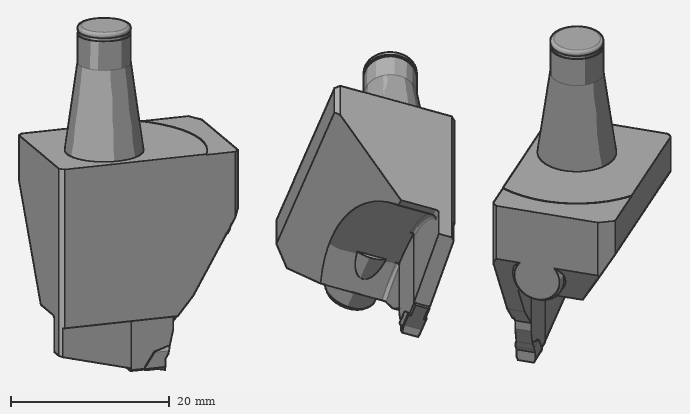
import cadquery as cq
import math


SHANK_TOP = 16.5
SHANK_RADIUS = 3.4
TAPER_BASE_RADIUS = 5.0
TAPER_TOP = 11.6
GROOVE_RADIUS = 3.3
GROOVE_BOTTOM = 15.4
GROOVE_TOP = 15.8
BEAD_MIDDLE = 16.1
SHANK_END_RADIUS = 2.95

HEAD_LEFT = -10.0
HEAD_RIGHT = 6.0
HEAD_FRONT = -8.0
HEAD_BACK = 15.98
HEAD_BOTTOM = -20.0
CORNER_CHAMFER = 0.6
BIG_CHAMFER_X = 1.9
BIG_CHAMFER_Y = 1.1
SEAT_RADIUS = 13.0
SEAT_STEP = 0.1
SLANT_TAN = math.tan(math.radians(30))
LEFT_SLANT_START = -5.0
BACK_SLANT_START = -7.8

BLADE_LEFT = 3.7
BLADE_RIGHT = 5.85
BLADE_FRONT_BOTTOM = -24.75
BLADE_BOTTOM_TAN = math.tan(math.radians(15))
RIGHT_STEP = -21.0
BACK_BEND_Y = 9.8
BACK_END_Z = -21.63
ROOT_FILLET = 0.5

ARCH_Y = 6.25
ARCH_TOP = -12.45
ARCH_RADIUS = 15.58

BOSS_RADIUS = 3.4
BOSS_Z = -9.7
BOSS_CHAMFER_RADIAL = 0.4
BOSS_CHAMFER_LENGTH = 0.6
BOSS_LENGTH = 8.9

INSERT_FRONT = 1.5
INSERT_BACK = 7.15
INSERT_BOTTOM = -27.72
EDGE_Y = 6.05
TIP_Z = -28.0
TIP_RELIEF_Y = 5.0
FLARE = 0.2
FLARE_TOP = -24.85
FLARE_FULL = -25.4
TIP_CHAMFER = 0.22
TIP_CORNER_HEIGHT = 0.5
CHIP_FACE = [(INSERT_BACK, -22.8), (6.68, -24.9), (6.45, -25.8), (EDGE_Y, -26.48)]
FLANK_BACK = 6.8
FLANK_BORDER = [(FLANK_BACK, -24.75), (4.65, -25.35), (3.35, -27.3), (3.35, TIP_Z)]

MARGIN = 4.45
SELECT_TOLERANCE = 0.05


def arch_z(y):
    """Height of the arch at a given Y."""
    return ARCH_TOP - ARCH_RADIUS + math.sqrt(ARCH_RADIUS**2 - (y - ARCH_Y) ** 2)


def side_prism(outline, x_start, x_end):
    """Extrude a closed YZ outline from x_start to x_end."""
    return outline.close().extrude(x_end - x_start).translate((x_start, 0, 0))


def make_shank():
    """Tapered shank with a grooved, beaded end."""
    profile = (
        cq.Workplane("XZ")
        .moveTo(0, -SEAT_STEP)
        .lineTo(TAPER_BASE_RADIUS, -SEAT_STEP)
        .lineTo(TAPER_BASE_RADIUS, 0)
        .lineTo(SHANK_RADIUS, TAPER_TOP)
        .lineTo(SHANK_RADIUS, GROOVE_BOTTOM)
        .lineTo(GROOVE_RADIUS, GROOVE_BOTTOM)
        .lineTo(GROOVE_RADIUS, GROOVE_TOP)
        .threePointArc((SHANK_RADIUS, BEAD_MIDDLE), (SHANK_END_RADIUS, SHANK_TOP))
        .lineTo(0, SHANK_TOP)
        .close()
    )
    return profile.revolve(360, (0, 0, 0), (0, 1, 0))


def make_column():
    """Chamfered footprint of the head, extruded down to below the blade."""
    c = CORNER_CHAMFER
    return (
        cq.Workplane("XY")
        .polyline(
            [
                (HEAD_LEFT, HEAD_FRONT + c),
                (HEAD_LEFT + c, HEAD_FRONT),
                (HEAD_RIGHT - c, HEAD_FRONT),
                (HEAD_RIGHT, HEAD_FRONT + c),
                (HEAD_RIGHT, HEAD_BACK - c),
                (HEAD_RIGHT - c, HEAD_BACK),
                (HEAD_LEFT + BIG_CHAMFER_X, HEAD_BACK),
                (HEAD_LEFT, HEAD_BACK - BIG_CHAMFER_Y),
            ]
        )
        .close()
        .extrude(TIP_Z)
    )


def make_side_outline():
    """Prism along X that gives the head and blade their back slant and sloped bottom."""
    back_bend_z = BACK_SLANT_START - (HEAD_BACK - BACK_BEND_Y) / SLANT_TAN
    front_end_z = BLADE_FRONT_BOTTOM - (INSERT_FRONT - HEAD_FRONT) * BLADE_BOTTOM_TAN
    outline = cq.Workplane("YZ").polyline(
        [
            (HEAD_FRONT, 0),
            (HEAD_FRONT, BLADE_FRONT_BOTTOM),
            (INSERT_FRONT, front_end_z),
            (INSERT_FRONT, BACK_END_Z),
            (INSERT_BACK, BACK_END_Z),
            (BACK_BEND_Y, back_bend_z),
            (HEAD_BACK, BACK_SLANT_START),
            (HEAD_BACK, 0),
        ]
    )
    return side_prism(outline, HEAD_LEFT, HEAD_RIGHT)


def make_left_slant_cut():
    """Removes the corner below the left slant."""
    low_z = TIP_Z - MARGIN
    low_x = HEAD_LEFT + (LEFT_SLANT_START - low_z) * SLANT_TAN
    return (
        cq.Workplane("XZ", origin=(0, HEAD_FRONT - MARGIN, 0))
        .polyline([(HEAD_LEFT, LEFT_SLANT_START), (HEAD_LEFT, low_z), (low_x, low_z)])
        .close()
        .extrude(-(HEAD_BACK - HEAD_FRONT + 2 * MARGIN))
    )


def make_underside_cut():
    """Space left of the blade and below the arch, with a round root along the blade."""
    arch_centre_z = ARCH_TOP - ARCH_RADIUS
    arch_start_y = ARCH_Y - math.sqrt(ARCH_RADIUS**2 - (HEAD_BOTTOM - arch_centre_z) ** 2)
    far_back = HEAD_BACK + MARGIN
    low_z = TIP_Z - MARGIN
    outline = (
        cq.Workplane("YZ")
        .moveTo(HEAD_FRONT - MARGIN, low_z)
        .lineTo(HEAD_FRONT - MARGIN, HEAD_BOTTOM)
        .lineTo(arch_start_y, HEAD_BOTTOM)
        .threePointArc((ARCH_Y, ARCH_TOP), (far_back, arch_z(far_back)))
        .lineTo(far_back, low_z)
    )
    space = side_prism(outline, HEAD_LEFT - MARGIN, BLADE_LEFT)
    top_of_blade_face = cq.selectors.BoxSelector(
        (BLADE_LEFT - SELECT_TOLERANCE, HEAD_FRONT - MARGIN, HEAD_BOTTOM - SELECT_TOLERANCE),
        (BLADE_LEFT + SELECT_TOLERANCE, far_back, 0),
        boundingbox=False,
    )
    return space.faces(">X").edges(top_of_blade_face).fillet(ROOT_FILLET)


def make_right_step_cut():
    """Sets the right face of the blade back from the head."""
    return (
        cq.Workplane("XY", origin=(BLADE_RIGHT, HEAD_FRONT, RIGHT_STEP))
        .rect(MARGIN, HEAD_BACK - HEAD_FRONT, centered=False)
        .extrude(TIP_Z - RIGHT_STEP)
    )


def make_seat_relief():
    """Shallow step that leaves the round seat around the shank proud."""
    return (
        cq.Workplane("XY")
        .rect(4 * HEAD_BACK, 4 * HEAD_BACK)
        .circle(SEAT_RADIUS)
        .extrude(-SEAT_STEP)
    )


def make_boss():
    """Chamfered round boss along Y, flush with the back of the head."""
    boss_start = HEAD_BACK - BOSS_LENGTH
    profile = cq.Workplane("XY").polyline(
        [
            (0, boss_start),
            (BOSS_RADIUS, boss_start),
            (BOSS_RADIUS, HEAD_BACK - BOSS_CHAMFER_LENGTH),
            (BOSS_RADIUS - BOSS_CHAMFER_RADIAL, HEAD_BACK),
            (0, HEAD_BACK),
        ]
    )
    return profile.close().revolve(360, (0, 0, 0), (0, 1, 0)).translate((0, 0, BOSS_Z))


def make_insert_profile(x_start, x_end):
    """Side shape of the insert: arched top, sloped chip face and relieved bottom."""
    outline = (
        cq.Workplane("YZ")
        .moveTo(INSERT_FRONT, INSERT_BOTTOM)
        .lineTo(INSERT_FRONT, arch_z(INSERT_FRONT))
        .threePointArc((ARCH_Y, ARCH_TOP), (INSERT_BACK, arch_z(INSERT_BACK)))
        .polyline(CHIP_FACE, includeCurrent=True)
        .lineTo(EDGE_Y, TIP_Z)
        .lineTo(TIP_RELIEF_Y, INSERT_BOTTOM)
    )
    return side_prism(outline, x_start, x_end)


def make_cutting_head():
    """Flared sides of the insert near the cutting edge."""
    left = BLADE_LEFT - FLARE
    right = BLADE_RIGHT + FLARE
    corner_z = TIP_Z + TIP_CORNER_HEIGHT
    outline = cq.Workplane("YZ").polyline(FLANK_BORDER + [(FLANK_BACK, TIP_Z)])
    region = side_prism(outline, left, right)
    front_shape = (
        cq.Workplane("XZ")
        .polyline(
            [
                (BLADE_LEFT, FLARE_TOP),
                (left, FLARE_FULL),
                (left, corner_z),
                (BLADE_LEFT, TIP_Z),
                (BLADE_RIGHT, TIP_Z),
                (right, corner_z),
                (right, FLARE_FULL),
                (BLADE_RIGHT, FLARE_TOP),
            ]
        )
        .close()
        .extrude(-HEAD_BACK)
    )
    side_shape = make_insert_profile(left, right)
    return region.intersect(front_shape).intersect(side_shape)


def make_holder():
    """Head, blade, boss and shank, with the pocket for the insert."""
    body = make_column().intersect(make_side_outline())
    body = body.cut(make_left_slant_cut()).cut(make_underside_cut()).cut(make_right_step_cut())
    body = body.cut(make_seat_relief())
    pocket = make_insert_profile(BLADE_LEFT - ROOT_FILLET, BLADE_RIGHT)
    return body.union(make_boss()).cut(pocket).union(make_shank())


def make_insert():
    """Slab that fills the pocket, with the flared cutting head at its lower end."""
    slab = make_insert_profile(BLADE_LEFT, BLADE_RIGHT)
    slab = slab.edges("|Y").chamfer(TIP_CHAMFER)
    return slab.union(make_cutting_head())


holder = make_holder()
insert = make_insert()

result = cq.Compound.makeCompound([holder.val(), insert.val()])